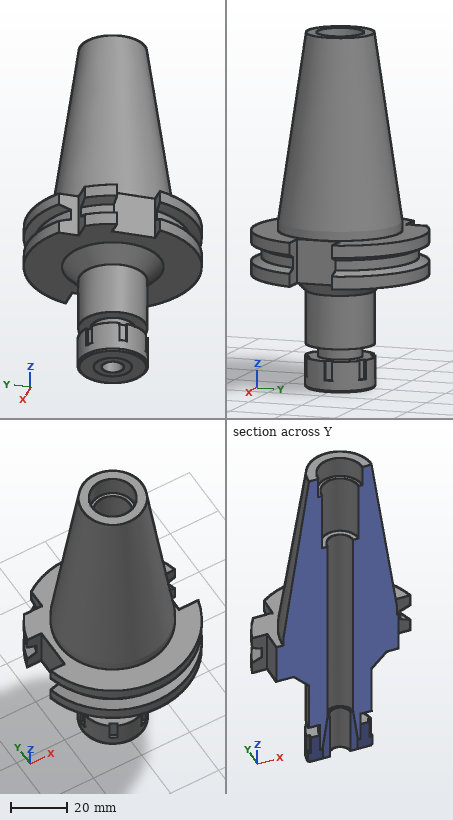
import cadquery as cq
import math


total_height = 128.4
taper_length = 68.5
collar_height = 3.2
flange_thickness = 15.9
gauge_z = total_height - taper_length
flange_top_z = gauge_z - collar_height
flange_bottom_z = flange_top_z - flange_thickness
shank_bottom_z = 15.7
nut_height = 11.2

gauge_radius = 22.2
taper_ratio = 7 / 24
taper_end_radius = gauge_radius - taper_length * taper_ratio / 2
flange_radius = 31.78
shank_radius = 12.3
neck_radius = 8.0
relief_top_radius = 18.1
relief_height = relief_top_radius - shank_radius

groove_floor_radius = 28.1
groove_floor_width = 3.7
groove_flank_height = 1.5
groove_center_z = flange_top_z - 7.8

key_slot_width = 16.0
left_key_floor_x = -24.9
right_key_floor_x = 22.7
notch_x = -18.4
notch_y = 18.5

counterbore_radius = 8.5
counterbore_depth = 8.2
thread_bore_radius = 7.0
thread_bore_depth = 32.1
through_bore_radius = 4.9

collet_length = 18.0
collet_bore_radius = 4.0
collet_half_angle = 8.0

nut_radius = 12.6
nut_chamfer = 0.6
nut_lip_height = 4.2
wrench_slot_count = 6
wrench_slot_width = 2.8
wrench_slot_floor_radius = 11.4
wrench_slot_bottom_z = 4.2

collet_cone_height = collet_length - nut_lip_height
collet_nose_radius = through_bore_radius + collet_cone_height * math.tan(math.radians(collet_half_angle))


def cylinder(radius, bottom_z, top_z):
    return cq.Workplane("XY").workplane(offset=bottom_z).circle(radius).extrude(top_z - bottom_z)


def revolved(points):
    """Turn a closed (radius, z) outline around the Z axis."""
    return cq.Workplane("XZ").polyline(points).close().revolve(360, (0, 0), (0, 1))


def box_between(x_range, y_range, z_range):
    ranges = (x_range, y_range, z_range)
    sizes = [high - low for low, high in ranges]
    corner = cq.Vector(*[low for low, high in ranges])
    return cq.Workplane("XY").box(*sizes, centered=False).translate(corner)


def holder_blank():
    half_floor = groove_floor_width / 2
    half_mouth = half_floor + groove_flank_height
    return revolved([
        (0, nut_lip_height),
        (neck_radius, nut_lip_height),
        (neck_radius, shank_bottom_z),
        (shank_radius, shank_bottom_z),
        (shank_radius, flange_bottom_z - relief_height),
        (relief_top_radius, flange_bottom_z),
        (flange_radius, flange_bottom_z),
        (flange_radius, groove_center_z - half_mouth),
        (groove_floor_radius, groove_center_z - half_floor),
        (groove_floor_radius, groove_center_z + half_floor),
        (flange_radius, groove_center_z + half_mouth),
        (flange_radius, flange_top_z),
        (gauge_radius, flange_top_z),
        (gauge_radius, gauge_z),
        (taper_end_radius, total_height),
        (0, total_height),
    ])


def flange_cuts():
    """Two key slots of unequal depth and the corner notch, all through the flange."""
    flange_z = (flange_bottom_z, flange_top_z)
    key_y = (-key_slot_width / 2, key_slot_width / 2)
    left_key = box_between((-flange_radius, left_key_floor_x), key_y, flange_z)
    right_key = box_between((right_key_floor_x, flange_radius), key_y, flange_z)
    notch = box_between((-flange_radius, notch_x), (notch_y, flange_radius), flange_z)
    return left_key.add(right_key).add(notch).combine()


def holder_bore():
    """Stepped bore from the taper end, opening into the conical collet socket."""
    counterbore_z = total_height - counterbore_depth
    thread_end_z = total_height - thread_bore_depth
    return revolved([
        (0, nut_lip_height),
        (collet_nose_radius, nut_lip_height),
        (through_bore_radius, collet_length),
        (through_bore_radius, thread_end_z),
        (thread_bore_radius, thread_end_z),
        (thread_bore_radius, counterbore_z),
        (counterbore_radius, counterbore_z),
        (counterbore_radius, total_height),
        (0, total_height),
    ])


def make_holder():
    return holder_blank().cut(flange_cuts()).cut(holder_bore())


def make_collet():
    """Sleeve with a straight nose in the nut and a cone in the holder socket."""
    return revolved([
        (collet_bore_radius, 0),
        (collet_nose_radius, 0),
        (collet_nose_radius, nut_lip_height),
        (through_bore_radius, collet_length),
        (collet_bore_radius, collet_length),
    ])


def make_nut():
    """Ring around the holder neck with a lip below it and wrench slots in its rim."""
    nut = cylinder(nut_radius, 0, nut_height).faces("<Z").chamfer(nut_chamfer)
    nut = nut.cut(cylinder(collet_nose_radius, 0, nut_lip_height))
    nut = nut.cut(cylinder(neck_radius, nut_lip_height, nut_height))
    slot = box_between(
        (wrench_slot_floor_radius, nut_radius),
        (-wrench_slot_width / 2, wrench_slot_width / 2),
        (wrench_slot_bottom_z, nut_height),
    )
    for index in range(wrench_slot_count):
        angle = index * 360 / wrench_slot_count
        nut = nut.cut(slot.rotate((0, 0, 0), (0, 0, 1), angle))
    return nut


holder = make_holder()
collet = make_collet()
nut = make_nut()

result = cq.Compound.makeCompound([holder.val(), collet.val(), nut.val()])